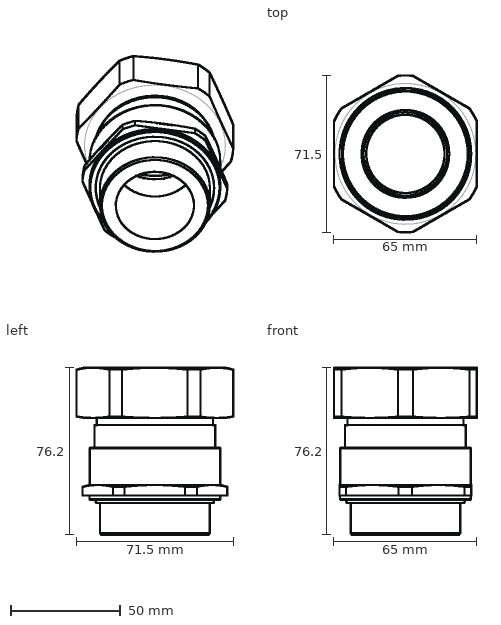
import cadquery as cq
import math

total_height = 76.25
corner_ratio = 1.1

spigot_radius = 25.0
spigot_chamfer = 0.9
collar_bottom = 16.0
collar_radius = 29.8
collar_chamfer = 0.45
body_hex_bottom = 18.0
body_hex_top = 22.9
body_hex_flats = 60.0
barrel_radius = 29.7
barrel_top = 39.95
barrel_chamfer = 0.5
body_bore_radius = 17.8

ring_section_radius = 1.0
ring_centre_height = 15.55
ring_centre_radius = spigot_radius + ring_section_radius

sleeve_radius = 27.5
sleeve_top = 50.1
neck_radius = 26.45
nut_hex_bottom = 53.3
nut_hex_flats = 65.0
nut_bore_radius = 19.0
nut_bore_chamfer = 1.0
socket_floor = 56.3
socket_floor_radius = 28.4
socket_mouth_radius = 29.0
socket_chamfer = 1.0

corner_chamfer_angle = 15.0
nut_base_chamfer_angle = 10.0
nut_face_radius = 32.0


def revolved(points):
    """Solid of revolution about Z from (radius, height) points."""
    return cq.Workplane("XZ").polyline(points).close().revolve(360, (0, 0), (0, 1))


def trimmed_hexagon(flats, bottom, top, face_radius, base_angle=0):
    """Hexagon with flats facing X, its corners rounded to a circle and chamfered by a cone.

    The bottom corners are chamfered as well when base_angle is above zero.
    """
    corner_radius = flats * corner_ratio / 2
    corner_overhang = corner_radius - face_radius
    drop = corner_overhang * math.tan(math.radians(corner_chamfer_angle))
    rise = corner_overhang * math.tan(math.radians(base_angle))
    hexagon = (
        cq.Workplane("XY", origin=(0, 0, bottom))
        .polygon(6, flats / math.cos(math.pi / 6))
        .extrude(top - bottom)
        .rotate((0, 0, 0), (0, 0, 1), 30)
    )
    lower_edge = [(corner_radius, bottom)]
    if base_angle > 0:
        lower_edge = [(face_radius, bottom), (corner_radius, bottom + rise)]
    envelope = revolved(
        [(0, bottom), *lower_edge, (corner_radius, top - drop), (face_radius, top), (0, top)]
    )
    return hexagon.intersect(envelope)


def make_sealing_ring():
    return (
        cq.Workplane("XZ")
        .center(ring_centre_radius, ring_centre_height)
        .circle(ring_section_radius)
        .revolve(360, (-ring_centre_radius, 0), (-ring_centre_radius, 1))
    )


def make_entry_body(sealing_ring):
    turned = revolved([
        (0, 0),
        (spigot_radius - spigot_chamfer, 0),
        (spigot_radius, spigot_chamfer),
        (spigot_radius, collar_bottom),
        (collar_radius - collar_chamfer, collar_bottom),
        (collar_radius, collar_bottom + collar_chamfer),
        (collar_radius, body_hex_bottom),
        (barrel_radius, body_hex_bottom),
        (barrel_radius, barrel_top - barrel_chamfer),
        (barrel_radius - barrel_chamfer, barrel_top),
        (0, barrel_top),
    ])
    wrench_hex = trimmed_hexagon(
        body_hex_flats, body_hex_bottom, body_hex_top, barrel_radius
    )
    bore = revolved([
        (0, 0),
        (body_bore_radius, 0),
        (nut_bore_radius, barrel_top),
        (0, barrel_top),
    ])
    return turned.union(wrench_hex).cut(bore).cut(sealing_ring)


def make_conduit_nut():
    stem = revolved([
        (0, barrel_top),
        (sleeve_radius, barrel_top),
        (sleeve_radius, sleeve_top),
        (neck_radius, sleeve_top),
        (neck_radius, nut_hex_bottom),
        (0, nut_hex_bottom),
    ])
    socket_hex = trimmed_hexagon(
        nut_hex_flats, nut_hex_bottom, total_height, nut_face_radius, nut_base_chamfer_angle
    )
    passage = revolved([
        (0, barrel_top),
        (nut_bore_radius, barrel_top),
        (nut_bore_radius, socket_floor - nut_bore_chamfer),
        (nut_bore_radius + nut_bore_chamfer, socket_floor),
        (socket_floor_radius, socket_floor),
        (socket_mouth_radius, total_height - socket_chamfer),
        (socket_mouth_radius + socket_chamfer, total_height),
        (0, total_height),
    ])
    return stem.union(socket_hex).cut(passage)


sealing_ring = make_sealing_ring()
entry_body = make_entry_body(sealing_ring)
conduit_nut = make_conduit_nut()

result = cq.Compound.makeCompound([entry_body.val(), sealing_ring.val(), conduit_nut.val()])